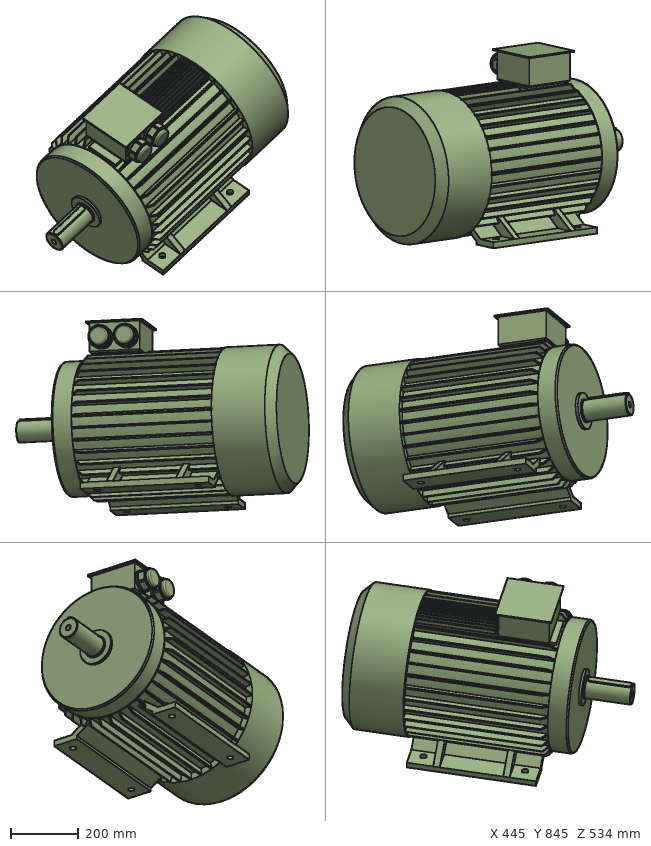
import cadquery as cq
import math


SHAFT_DIA = 65
SHAFT_LENGTH = 140
SHAFT_CHAMFER = 2
COLLAR_DIA = 70
COLLAR_FRONT = 2
STEP_DIA = 67
KEY_WIDTH = 18
KEY_HEIGHT = 11
KEY_SEAT_DEPTH = 7
KEY_LENGTH = 134
CENTRE_HOLE_DIA = 17.29
CENTRE_HOLE_DEPTH = 42
DRILL_TIP_ANGLE = 118

BOSS_FRONT = 5
SHIELD_FRONT = 13
SHIELD_REAR = 75
COWL_FRONT = 512
COWL_REAR = 705

BOSS_DIA = 110
SHIELD_DIA = 405
SHIELD_BEVEL_DEPTH = 4
SHIELD_BEVEL_LENGTH = 5
CORE_DIA = 400
COWL_DIA = 445
COWL_BEVEL = 28.5

FIN_COUNT = 36
FIN_THICKNESS = 5
FIN_TIP_RADIUS = 220
FIN_BEVEL_DEPTH = 20
FIN_BEVEL_LENGTH = 18
FIN_EMBEDMENT = 5
FIN_ROOT_RADIUS = CORE_DIA / 2 - FIN_EMBEDMENT
TOP_ANGLE = 90
TOP_GAP_HALF_ANGLE = 15

PAD_WIDTH = 105
PAD_TOP = 201.5
PAD_FRONT = 82
PAD_FIN_COUNT = 9
PAD_FIN_PITCH = 12.2
PAD_FIN_FRONT = 264
PAD_FIN_BEVEL = 10

BOX_CENTRE_Y = 176
BOX_SIDE = 155
BOX_BOTTOM = 213.5
BOX_CHAMFER = 5
NECK_SIDE = 104
LID_SIDE = 172
LID_THICKNESS = 4
LID_TOP = 309

GLAND_Z = 257.7
GLAND_SPACING = 78
GLAND_COLLAR_DIA = 67
GLAND_COLLAR_LENGTH = 7
GLAND_HEX_FLATS = 61
GLAND_HEX_CORNERS = 67.4
GLAND_HEX_LENGTH = 24
HEX_TURN = 30
GLAND_RIM_LENGTH = 3
GLAND_CAP_DIA = 57.49
GLAND_CAP_LENGTH = 13
GLAND_CAP_FILLET = 5

AXIS_HEIGHT = 225
FOOT_PLATE_THICKNESS = 19
FOOT_OUTER_X = 217.5
FOOT_INNER_X = 136
FOOT_INNER_EDGE_HEIGHT = 10.5
FOOT_LENGTH = 395
FOOT_HOLE_DIA = 19
FOOT_HOLE_SPACING_X = 356
FOOT_HOLE_SPACING_Y = 311
FIRST_FOOT_HOLE_Y = 149
FOOT_CENTRE_Y = FIRST_FOOT_HOLE_Y + FOOT_HOLE_SPACING_Y / 2
FOOT_WALL_BASE_X = 156
FOOT_WALL_INNER_TOP = (80, -177)
FOOT_WALL_OUTER_TOP = (102, -167)
GUSSET_TOP = (132, -147)
GUSSET_THICKNESS = 20
GUSSET_SPACING = 214


def revolve_about_y(profile):
    """Turn a closed (radius, y) outline about the shaft axis."""
    return cq.Workplane("XY").polyline(profile).close().revolve(360, (0, 0, 0), (0, 1, 0))


def make_body():
    """Cowl, core, end shield, boss, collar and shaft as one turned profile."""
    shaft_tip = -SHAFT_LENGTH
    profile = [
        (0, shaft_tip),
        (SHAFT_DIA / 2 - SHAFT_CHAMFER, shaft_tip),
        (SHAFT_DIA / 2, shaft_tip + SHAFT_CHAMFER),
        (SHAFT_DIA / 2, 0),
        (STEP_DIA / 2, 0),
        (STEP_DIA / 2, COLLAR_FRONT),
        (COLLAR_DIA / 2, COLLAR_FRONT),
        (COLLAR_DIA / 2, BOSS_FRONT),
        (BOSS_DIA / 2, BOSS_FRONT),
        (BOSS_DIA / 2, SHIELD_FRONT),
        (SHIELD_DIA / 2 - SHIELD_BEVEL_DEPTH, SHIELD_FRONT),
        (SHIELD_DIA / 2, SHIELD_FRONT + SHIELD_BEVEL_LENGTH),
        (SHIELD_DIA / 2, SHIELD_REAR),
        (CORE_DIA / 2, SHIELD_REAR),
        (CORE_DIA / 2, COWL_FRONT),
        (COWL_DIA / 2, COWL_FRONT),
        (COWL_DIA / 2, COWL_REAR - COWL_BEVEL),
        (COWL_DIA / 2 - COWL_BEVEL, COWL_REAR),
        (0, COWL_REAR),
    ]
    return revolve_about_y(profile)


def make_key():
    """Round-ended key standing proud of the upper side of the shaft."""
    return (
        cq.Workplane("XY", origin=(0, -SHAFT_LENGTH / 2, SHAFT_DIA / 2 - KEY_SEAT_DEPTH))
        .slot2D(KEY_LENGTH, KEY_WIDTH, 90)
        .extrude(KEY_HEIGHT)
    )


def make_centre_hole_cutter():
    """Drilled hole with a conical bottom in the shaft end."""
    radius = CENTRE_HOLE_DIA / 2
    hole_bottom = -SHAFT_LENGTH + CENTRE_HOLE_DEPTH
    tip_length = radius / math.tan(math.radians(DRILL_TIP_ANGLE / 2))
    profile = [
        (0, -SHAFT_LENGTH),
        (radius, -SHAFT_LENGTH),
        (radius, hole_bottom),
        (0, hole_bottom + tip_length),
    ]
    return revolve_about_y(profile)


def make_radial_fins():
    """Fins all round the core except under the terminal box."""
    profile = [
        (FIN_ROOT_RADIUS, SHIELD_REAR),
        (FIN_TIP_RADIUS - FIN_BEVEL_DEPTH, SHIELD_REAR),
        (FIN_TIP_RADIUS, SHIELD_REAR + FIN_BEVEL_LENGTH),
        (FIN_TIP_RADIUS, COWL_FRONT),
        (FIN_ROOT_RADIUS, COWL_FRONT),
    ]
    fin = cq.Workplane("XY").polyline(profile).close().extrude(FIN_THICKNESS / 2, both=True)
    fins = []
    for index in range(FIN_COUNT):
        angle = index * 360 / FIN_COUNT
        if abs(angle - TOP_ANGLE) > TOP_GAP_HALF_ANGLE:
            fins.append(fin.rotate((0, 0, 0), (0, 1, 0), -angle))
    return fins


def make_pad():
    """Flat-topped pad that carries the terminal box."""
    pad = cq.Workplane("XY", origin=(0, PAD_FRONT, 0))
    return pad.box(PAD_WIDTH, COWL_FRONT - PAD_FRONT, PAD_TOP, centered=(True, False, False))


def make_pad_fin(x):
    """Upright fin at x whose top edge reaches the circle of the radial fin tips."""
    top = math.sqrt(FIN_TIP_RADIUS**2 - x**2)
    profile = [
        (PAD_FIN_FRONT, FIN_ROOT_RADIUS),
        (PAD_FIN_FRONT, top - PAD_FIN_BEVEL),
        (PAD_FIN_FRONT + PAD_FIN_BEVEL, top),
        (COWL_FRONT, top),
        (COWL_FRONT, FIN_ROOT_RADIUS),
    ]
    plane = cq.Workplane("YZ", origin=(x, 0, 0))
    return plane.polyline(profile).close().extrude(FIN_THICKNESS / 2, both=True)


def make_pad_fins():
    """Parallel fins between the terminal box and the cowl."""
    middle = (PAD_FIN_COUNT - 1) / 2
    return [make_pad_fin((index - middle) * PAD_FIN_PITCH) for index in range(PAD_FIN_COUNT)]


def make_terminal_box():
    """Square box with an overhanging lid, standing on a narrower neck."""
    neck = (
        cq.Workplane("XY", origin=(0, BOX_CENTRE_Y, PAD_TOP))
        .rect(NECK_SIDE, NECK_SIDE)
        .extrude(BOX_BOTTOM - PAD_TOP)
    )
    box = (
        cq.Workplane("XY", origin=(0, BOX_CENTRE_Y, BOX_BOTTOM))
        .rect(BOX_SIDE, BOX_SIDE)
        .extrude(LID_TOP - LID_THICKNESS - BOX_BOTTOM)
        .faces("<Z")
        .chamfer(BOX_CHAMFER)
    )
    lid = (
        cq.Workplane("XY", origin=(0, BOX_CENTRE_Y, LID_TOP - LID_THICKNESS))
        .rect(LID_SIDE, LID_SIDE)
        .extrude(LID_THICKNESS)
    )
    return neck.union(box).union(lid)


def make_gland(centre_y):
    """Cable gland: round collar, hexagon with rounded corners, rim and cap."""
    hex_start = BOX_SIDE / 2 + GLAND_COLLAR_LENGTH
    rim_start = hex_start + GLAND_HEX_LENGTH
    cap_start = rim_start + GLAND_RIM_LENGTH

    def disc(start_x, diameter, length):
        plane = cq.Workplane("YZ", origin=(start_x, centre_y, GLAND_Z))
        return plane.circle(diameter / 2).extrude(length)

    collar = disc(BOX_SIDE / 2, GLAND_COLLAR_DIA, GLAND_COLLAR_LENGTH)
    sharp_corner_dia = GLAND_HEX_FLATS / math.cos(math.radians(HEX_TURN))
    hexagon = (
        cq.Workplane("YZ", origin=(hex_start, centre_y, GLAND_Z))
        .transformed(rotate=(0, 0, HEX_TURN))
        .polygon(6, sharp_corner_dia)
        .extrude(GLAND_HEX_LENGTH)
        .intersect(disc(hex_start, GLAND_HEX_CORNERS, GLAND_HEX_LENGTH))
    )
    rim = disc(rim_start, GLAND_HEX_CORNERS, GLAND_RIM_LENGTH)
    cap = disc(cap_start, GLAND_CAP_DIA, GLAND_CAP_LENGTH).faces(">X").edges().fillet(GLAND_CAP_FILLET)
    return collar.union(hexagon).union(rim).union(cap)


def extrude_along_y(profile, centre_y, length):
    """Extrude an X-Z outline along Y, centred on centre_y."""
    plane = cq.Workplane("XZ", origin=(0, centre_y, 0))
    return plane.polyline(profile).close().extrude(length / 2, both=True)


def make_foot():
    """Foot on the +X side: drilled plate, sloping wall and two gussets."""
    plate_top = FOOT_PLATE_THICKNESS - AXIS_HEIGHT
    bracket = [
        (FOOT_OUTER_X, -AXIS_HEIGHT),
        (FOOT_INNER_X, -AXIS_HEIGHT),
        (FOOT_INNER_X, FOOT_INNER_EDGE_HEIGHT - AXIS_HEIGHT),
        FOOT_WALL_INNER_TOP,
        FOOT_WALL_OUTER_TOP,
        (FOOT_WALL_BASE_X, plate_top),
        (FOOT_OUTER_X, plate_top),
    ]
    gusset = [
        (FOOT_OUTER_X, plate_top),
        GUSSET_TOP,
        FOOT_WALL_OUTER_TOP,
        (FOOT_WALL_BASE_X, plate_top),
    ]
    foot = extrude_along_y(bracket, FOOT_CENTRE_Y, FOOT_LENGTH)
    for side in (-1, 1):
        gusset_y = FOOT_CENTRE_Y + side * GUSSET_SPACING / 2
        foot = foot.union(extrude_along_y(gusset, gusset_y, GUSSET_THICKNESS))
    holes = (
        cq.Workplane("XY", origin=(FOOT_HOLE_SPACING_X / 2, FOOT_CENTRE_Y, -AXIS_HEIGHT))
        .rarray(1, FOOT_HOLE_SPACING_Y, 1, 2)
        .circle(FOOT_HOLE_DIA / 2)
        .extrude(FOOT_PLATE_THICKNESS)
    )
    return foot.cut(holes)


right_foot = make_foot()
attachments = [
    make_key(),
    make_pad(),
    make_terminal_box(),
    make_gland(BOX_CENTRE_Y - GLAND_SPACING / 2),
    make_gland(BOX_CENTRE_Y + GLAND_SPACING / 2),
    right_foot,
    right_foot.mirror("YZ"),
]

result = make_body()
for piece in make_radial_fins() + make_pad_fins() + attachments:
    result = result.union(piece)
result = result.cut(make_centre_hole_cutter())